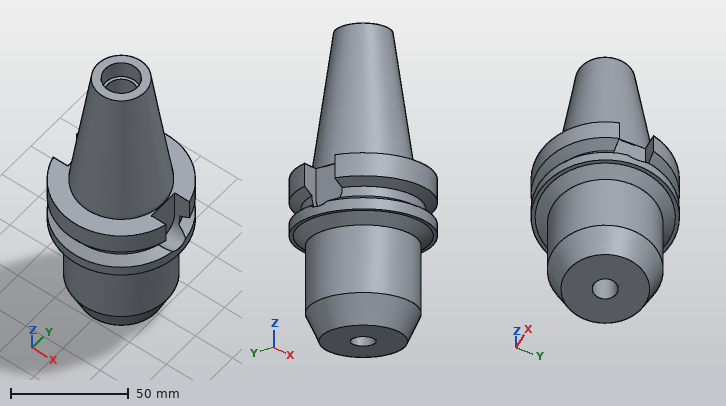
import cadquery as cq


total_height = 140.1
gauge_height = 75.0
flange_top = 73.6
groove_centre = 58.1
groove_mouth = 10.0
groove_floor_width = 4.4
flange_bottom = 48.0
flange_cone_bottom = 43.4
nose_chamfer_height = 12.6

gauge_diameter = 44.45
taper_ratio = 7 / 24
flange_diameter = 63.0
groove_diameter = 53.0
flange_cone_diameter = 59.5
body_diameter = 49.2
nose_diameter = 37.6

slot_width = 16.1
slot_floor_x = 22.5
slot_arc_centre = 59.8

pilot_diameter = 17.0
pilot_depth = 9.0
thread_diameter = 14.0
thread_depth = 35.0
through_diameter = 11.0


def make_body():
    """Revolve the outer outline of the holder about the Z axis."""
    taper_end_diameter = gauge_diameter - taper_ratio * (total_height - gauge_height)
    outline = [
        (0, 0),
        (nose_diameter / 2, 0),
        (body_diameter / 2, nose_chamfer_height),
        (body_diameter / 2, flange_cone_bottom),
        (flange_cone_diameter / 2, flange_bottom),
        (flange_diameter / 2, flange_bottom),
        (flange_diameter / 2, groove_centre - groove_mouth / 2),
        (groove_diameter / 2, groove_centre - groove_floor_width / 2),
        (groove_diameter / 2, groove_centre + groove_floor_width / 2),
        (flange_diameter / 2, groove_centre + groove_mouth / 2),
        (flange_diameter / 2, flange_top),
        (gauge_diameter / 2, flange_top),
        (gauge_diameter / 2, gauge_height),
        (taper_end_diameter / 2, total_height),
        (0, total_height),
    ]
    return cq.Workplane("XZ").polyline(outline).close().revolve(360, (0, 0), (0, 1))


def make_drive_slot(side):
    """Round-bottomed slot cutter on the +X side (side = 1) or -X side (side = -1)."""
    half_width = slot_width / 2
    return (
        cq.Workplane("YZ", origin=(side * slot_floor_x, 0, 0))
        .moveTo(-half_width, flange_top)
        .lineTo(-half_width, slot_arc_centre)
        .threePointArc((0, slot_arc_centre - half_width), (half_width, slot_arc_centre))
        .lineTo(half_width, flange_top)
        .close()
        .extrude(side * flange_diameter / 2)
    )


def make_bore():
    """Stepped bore, widest at the small end of the taper."""
    bore = cq.Workplane("XY").circle(through_diameter / 2).extrude(total_height)
    for diameter, depth in ((pilot_diameter, pilot_depth), (thread_diameter, thread_depth)):
        step = cq.Workplane("XY", origin=(0, 0, total_height)).circle(diameter / 2).extrude(-depth)
        bore = bore.union(step)
    return bore


result = make_body().cut(make_bore())
for slot_side in (1, -1):
    result = result.cut(make_drive_slot(slot_side))